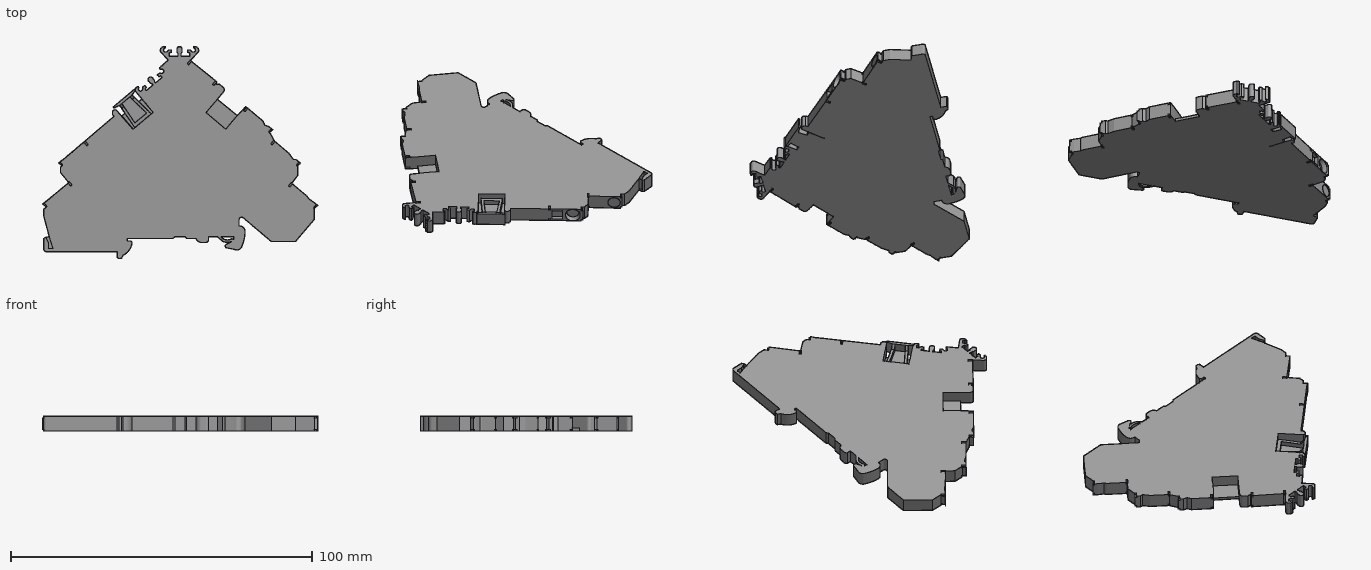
import cadquery as cq
import math


THICKNESS = 5.0
FLANK_ANGLE = 40.0
FLANK_DIRECTION = (math.cos(math.radians(FLANK_ANGLE)), math.sin(math.radians(FLANK_ANGLE)), 0)
FLANK_NORMAL = (-FLANK_DIRECTION[1], FLANK_DIRECTION[0], 0)
OVERCUT = 1.0

CROWN_Y = 67.2
CROWN_HALF_WIDTH = 3.4
KNOB_HALF_WIDTH = 0.85
KNOB_TIP_LENGTH = 1.1
KNOB_NECK = 0.55
KNOB_HEIGHT = 3.2
HOOK_TIP = (5.5, CROWN_Y + KNOB_HEIGHT)
CROWN_FOOT = (3.8, 65.9)
TILTED_CROWN_CENTRE = (-8.4, 58.0)
TILTED_CROWN_DROP = 0.45

LOWER_LEFT_CORNER = (-45.1, 3.2)
FLOOR_Y = 2.25
RAIL_Y = 7.2
RAIL_RELIEF_Y = 6.65

POCKET_CENTRE = (-12.1, 45.75)
POCKET_HALF_WIDTH = 4.35
POCKET_FLOOR_LENGTH = 5.8
POCKET_MOUTH = 8.6
POCKET_FLOOR = 1.0
LATCH_WELL_FLOOR = 1.45
LATCH_TOP = 3.1
LATCH_PLATE_TOP = 4.5
LATCH_PLATE_BACK = 8.9
LATCH_PLATE_FRONT = 9.9
LATCH_PLATE_HALF_LENGTH = 4.7
LATCH_LIP_BACK = 9.4
LATCH_ROOT_HALF_WIDTH = 3.55
LATCH_TIP_HALF_WIDTH = 2.7
LATCH_ARM = 1.0
LATCH_WEB = 1.2
LATCH_RAMP_LENGTH = 1.2

WINDOW_FLOOR = 1.0
WINDOW_CORNERS = [(12.6, 52.9), (8.8, 48.5), (15.35, 42.95), (19.2, 47.5)]

SLOT_WIDTH = 0.6
SLOT_LENGTH = 1.5
SLOT_DEPTH = 0.6
LEFT_SLOTS = [(-45.45, 18.1), (-37.1, 25.2), (-40.2, 31.8), (-31.75, 38.6)]
RIGHT_SLOTS = [(4.0, 65.5), (12.4, 58.6), (22.7, 49.9), (31.0, 42.8), (31.75, 38.9),
               (40.2, 31.7), (37.6, 24.9), (45.95, 17.6)]

ENTRY_RADIUS = 2.05
ENTRY_Z = 2.45
LOWER_FLANK_START = (-45.45, 18.1)
UPPER_FLANK_START = (-38.6, 32.9)
UPPER_ENTRY_Y = 33.8
UPPER_ENTRY_DEPTH = 1.6
UPPER_ENTRY_MOUTH_RADIUS = 2.45
LOWER_ENTRY_Y = 19.8
LOWER_ENTRY_DEPTH = 0.1
DRIVER_OPENING_Y = 37.15
DRIVER_OPENING_LENGTH = 3.5
DRIVER_OPENING_HEIGHT = 3.5
DRIVER_OPENING_DEPTH = 1.3

FOOT_POCKET_FLOOR = 0.8


def arc(middle, end):
    """Mark a round stretch of an outline, given by a middle point and its end."""
    return ("arc", middle, end)


def closed_wire(start, steps):
    """Closed outline from a start point and a list of points and arcs."""
    path = cq.Workplane("XY").moveTo(*start)
    for step in steps:
        if step[0] == "arc":
            path = path.threePointArc(step[1], step[2])
        else:
            path = path.lineTo(*step)
    return path.close()


def tilted(point, origin):
    """Move a point from a frame tilted by the flank angle at origin to part coordinates."""
    x = origin[0] + point[0] * FLANK_DIRECTION[0] + point[1] * FLANK_NORMAL[0]
    y = origin[1] + point[0] * FLANK_DIRECTION[1] + point[1] * FLANK_NORMAL[1]
    return (x, y)


def moved(steps, place):
    """Apply a point transformation to every point of an outline stretch."""
    placed = []
    for step in steps:
        if step[0] == "arc":
            placed.append(arc(place(step[1]), place(step[2])))
        else:
            placed.append(place(step))
    return placed


def mirror_x(point):
    return (-point[0], point[1])


def end_of(step):
    return step[2] if step[0] == "arc" else step


def reversed_steps(steps):
    """The same outline stretch walked from its end to its start."""
    backward = [end_of(steps[-1])]
    for index in range(len(steps) - 1, 0, -1):
        target = end_of(steps[index - 1])
        if steps[index][0] == "arc":
            backward.append(arc(steps[index][1], target))
        else:
            backward.append(target)
    return backward


def crown_hook(drop):
    """Right hook of a crown, from its floor at y = 0 up to the hook tip, lowered by drop."""
    return [
        (CROWN_HALF_WIDTH, 0),
        (CROWN_HALF_WIDTH, 1.1 - drop),
        (2.7, 1.2 - drop),
        (2.7, 2.1 - drop),
        (3.6, 2.1 - drop),
        (4.1, 1.6 - drop),
        arc((5.15, 1.7 - drop), (5.1, 2.5 - drop)),
        (4.6, 2.8 - drop),
        (4.6, 3.15 - drop),
    ]


def crown_knob(drop):
    """Knob of a crown, walked from left to right."""
    shoulder = KNOB_HEIGHT - KNOB_TIP_LENGTH - drop
    return [
        (-KNOB_NECK, 0),
        (-KNOB_NECK, 0.9 - drop),
        (-KNOB_HALF_WIDTH, 1.3 - drop),
        (-KNOB_HALF_WIDTH, shoulder),
        arc((0, KNOB_HEIGHT - drop), (KNOB_HALF_WIDTH, shoulder)),
        (KNOB_HALF_WIDTH, 1.3 - drop),
        (KNOB_NECK, 0.9 - drop),
        (KNOB_NECK, 0),
    ]


def crown(drop):
    """Left hook, knob and right hook, from hook tip to hook tip."""
    right_hook = crown_hook(drop)
    left_hook = reversed_steps(moved(right_hook, mirror_x))
    return left_hook + crown_knob(drop) + right_hook


def upright(point):
    """Place a crown point on top of the housing."""
    return (point[0], CROWN_Y + point[1])


def on_left_flank(point):
    """Place a crown point on the upper left flank."""
    return tilted(point, TILTED_CROWN_CENTRE)


def in_pocket(point):
    """Place a point of the latch pocket frame."""
    return tilted(point, POCKET_CENTRE)


def left_side():
    """From the lower left corner up to the mouth of the latch pocket."""
    return [
        (-45.1, 6.6),
        (-44.7, 7.0),
        (-43.3, 7.3),
        (-45.1, 14.1),
        (-45.1, 16.4),
        (-44.3, 17.1),
        (-45.45, 18.1),
        (-36.8, 25.2),
        (-39.6, 28.6),
        (-39.6, 30.3),
        (-39.0, 30.8),
        (-40.2, 31.8),
        (-38.6, 32.9),
        (-21.8, 47.2),
        (-22.3, 47.9),
        (-22.3, 48.7),
        arc((-21.75, 49.35), (-20.95, 49.3)),
    ]


def upper_left():
    """From the latch pocket over the tilted crown to the top crown's right hook."""
    mouth_right = in_pocket((POCKET_HALF_WIDTH, POCKET_MOUTH))
    hook_back = [HOOK_TIP, (6.0, 69.95), arc((6.4, 69.4), (6.25, 68.6)), CROWN_FOOT]
    return [
        in_pocket((-POCKET_HALF_WIDTH, 0)),
        in_pocket((POCKET_HALF_WIDTH, 0)),
        mouth_right,
        arc((-14.6, 56.4), (-13.9, 57.1)),
        *moved(crown(TILTED_CROWN_DROP), on_left_flank),
        (-6.6, 63.4),
        *reversed_steps(moved(hook_back, mirror_x)),
        *moved(crown(0), upright),
        *hook_back,
    ]


def right_side():
    """Down the right flank to the tail of the housing."""
    return [
        (4.1, 65.4),
        (12.4, 58.7),
        (12.2, 57.9),
        (13.3, 57.9),
        (14.6, 56.8),
        arc((14.9, 56.1), (14.6, 55.3)),
        *WINDOW_CORNERS,
        (22.0, 50.5),
        (27.7, 45.7),
        (28.4, 44.3),
        (29.6, 43.9),
        (31.0, 42.8),
        (30.0, 41.9),
        (31.5, 39.1),
        (36.3, 35.0),
        (37.85, 32.9),
        (38.7, 32.9),
        (40.2, 31.7),
        (39.3, 30.9),
        (39.3, 27.6),
        (37.3, 25.0),
        (42.5, 20.6),
        (43.0, 19.8),
        (44.7, 18.65),
        (45.95, 17.6),
        (44.8, 16.7),
        (44.8, 13.0),
        (38.5, 5.6),
        (30.5, 5.6),
    ]


def base():
    """From the tail along the rail hook and the rail seat to the lower left corner."""
    return [
        (21.3, 13.4),
        arc((20.4, 13.65), (19.8, 12.8)),
        (19.8, 10.85),
        arc((21.26, 10.3), (21.8, 9.0)),
        arc((21.56, 6.6), (20.8, 4.2)),
        arc((20.1, 3.15), (18.4, 2.95)),
        (15.7, 3.5),
        arc((15.15, 4.1), (15.5, 4.7)),
        (17.2, 5.6),
        arc((15.7, 5.35), (14.3, 5.7)),
        (12.6, RAIL_Y),
        (9.65, RAIL_Y),
        (9.65, 6.0),
        arc((9.3, 5.5), (8.5, 5.3)),
        (7.1, 5.3),
        arc((6.3, 5.6), (5.5, RAIL_RELIEF_Y)),
        (2.4, RAIL_RELIEF_Y),
        (1.8, RAIL_Y),
        (-1.5, RAIL_Y),
        (-2.2, RAIL_RELIEF_Y),
        (-17.35, RAIL_RELIEF_Y),
        (-17.35, 5.9),
        (-16.3, 5.9),
        (-15.7, 5.4),
        arc((-16.6, 2.9), (-18.7, 1.1)),
        (-19.2, 0.1),
        (-19.6, 0),
        (-20.1, 0),
        (-20.7, 0.3),
        (-20.7, FLOOR_Y),
        (-44.2, FLOOR_Y),
        arc((-44.85, 2.5), LOWER_LEFT_CORNER),
    ]


def housing():
    """Plate with the full outline, open at the latch pocket and the side window."""
    steps = left_side() + upper_left() + right_side() + base()
    return closed_wire(LOWER_LEFT_CORNER, steps).extrude(THICKNESS)


def slab(points, bottom, top):
    """Upright prism over a polygon."""
    return cq.Workplane("XY").workplane(offset=bottom).polyline(points).close().extrude(top - bottom)


def pocket_slab(points, bottom, top):
    """Upright prism over a polygon given in the pocket frame."""
    return slab([in_pocket(point) for point in points], bottom, top)


def symmetric(right_points):
    """Close a half outline, walked from root to mouth, with its mirror image."""
    return right_points + [mirror_x(point) for point in reversed(right_points)]


def latch_side_profile():
    """Solid bounding the latch from above: level, then rising to the plate at its mouth end."""
    left_root = in_pocket((-POCKET_HALF_WIDTH, 0))
    section_plane = cq.Plane(
        origin=(left_root[0], left_root[1], 0),
        xDir=FLANK_NORMAL,
        normal=FLANK_DIRECTION,
    )
    profile = [
        (0, 0),
        (0, LATCH_TOP),
        (LATCH_PLATE_BACK - LATCH_RAMP_LENGTH, LATCH_TOP),
        (LATCH_PLATE_BACK, LATCH_PLATE_TOP),
        (LATCH_PLATE_BACK, 0),
    ]
    return cq.Workplane(section_plane).polyline(profile).close().extrude(2 * POCKET_HALF_WIDTH)


def latch():
    """Floor of the latch pocket, the U-shaped latch on it and the plate across its mouth."""
    floor_outline = symmetric([
        (POCKET_HALF_WIDTH, 0),
        (POCKET_HALF_WIDTH, POCKET_FLOOR_LENGTH),
    ])
    outer_outline = symmetric([
        (LATCH_ROOT_HALF_WIDTH, 0),
        (LATCH_TIP_HALF_WIDTH, LATCH_PLATE_BACK),
    ])
    inner_outline = symmetric([
        (LATCH_ROOT_HALF_WIDTH - LATCH_ARM, LATCH_WEB),
        (LATCH_TIP_HALF_WIDTH - LATCH_ARM, LATCH_PLATE_BACK),
    ])
    plate_outline = symmetric([
        (LATCH_TIP_HALF_WIDTH, LATCH_PLATE_BACK),
        (LATCH_PLATE_HALF_LENGTH, LATCH_LIP_BACK),
        (LATCH_PLATE_HALF_LENGTH, LATCH_PLATE_FRONT),
    ])
    frame = pocket_slab(outer_outline, 0, LATCH_PLATE_TOP).intersect(latch_side_profile())
    frame = frame.cut(pocket_slab(inner_outline, LATCH_WELL_FLOOR, LATCH_PLATE_TOP))
    plate = pocket_slab(plate_outline, 0, LATCH_PLATE_TOP)
    return pocket_slab(floor_outline, 0, POCKET_FLOOR).union(frame).union(plate)


def flank_plane(start, y):
    """Plane lying on a left flank that begins at start; its origin is at the given Y."""
    x = start[0] + (y - start[1]) / math.tan(math.radians(FLANK_ANGLE))
    return cq.Plane(
        origin=(x, y, ENTRY_Z),
        xDir=FLANK_DIRECTION,
        normal=FLANK_NORMAL,
    )


def lower_entry():
    """Shallow round seat on the lower flank."""
    plane = flank_plane(LOWER_FLANK_START, LOWER_ENTRY_Y)
    return (
        cq.Workplane(plane)
        .workplane(offset=-LOWER_ENTRY_DEPTH)
        .circle(ENTRY_RADIUS)
        .extrude(LOWER_ENTRY_DEPTH + OVERCUT)
    )


def upper_entry():
    """Funnel that narrows to the entry radius."""
    plane = flank_plane(UPPER_FLANK_START, UPPER_ENTRY_Y)
    mouth = cq.Workplane(plane).circle(UPPER_ENTRY_MOUTH_RADIUS).extrude(OVERCUT)
    funnel = cq.Solid.makeCone(
        UPPER_ENTRY_MOUTH_RADIUS, ENTRY_RADIUS, UPPER_ENTRY_DEPTH, plane.origin, -plane.zDir
    )
    return mouth.union(cq.Workplane(funnel))


def driver_opening():
    """Rectangular screwdriver opening above the upper entry."""
    plane = flank_plane(UPPER_FLANK_START, DRIVER_OPENING_Y)
    return (
        cq.Workplane(plane)
        .workplane(offset=-DRIVER_OPENING_DEPTH)
        .rect(DRIVER_OPENING_LENGTH, DRIVER_OPENING_HEIGHT)
        .extrude(DRIVER_OPENING_DEPTH + OVERCUT)
    )


def marker_slots():
    """Slot cutters; each slot starts at its lower corner on the flank and runs into the plate."""
    cutters = []
    for slots, side in ((LEFT_SLOTS, 1), (RIGHT_SLOTS, -1)):
        for corner in slots:
            for bottom in (0, THICKNESS - SLOT_DEPTH):
                cutter = (
                    cq.Workplane("XY")
                    .workplane(offset=bottom)
                    .rect(side * SLOT_WIDTH, -SLOT_LENGTH, centered=False)
                    .extrude(SLOT_DEPTH)
                    .rotate((0, 0, 0), (0, 0, 1), side * FLANK_ANGLE)
                    .translate((corner[0], corner[1], 0))
                )
                cutters.append(cutter)
    return cutters


def spring_gap():
    """Gap between the rail seat and the curved spring of the rail hook."""
    return closed_wire((13.8, RAIL_Y), [
        arc((15.5, 6.25), (17.4, 6.65)),
        (17.9, 6.3),
        (18.1, RAIL_Y),
    ]).extrude(THICKNESS)


def foot_pocket():
    """Narrow pocket that frees the corner tab from the side wall."""
    corners = [(-44.35, 7.0), (-43.5, 5.25), (-43.5, 3.3), (-42.0, 3.3), (-43.3, 7.3)]
    return slab(corners, FOOT_POCKET_FLOOR, THICKNESS)


openings = [lower_entry(), upper_entry(), driver_opening(), spring_gap(), foot_pocket()]

result = housing().union(latch()).union(slab(WINDOW_CORNERS, 0, WINDOW_FLOOR))
for cutter in openings + marker_slots():
    result = result.cut(cutter)